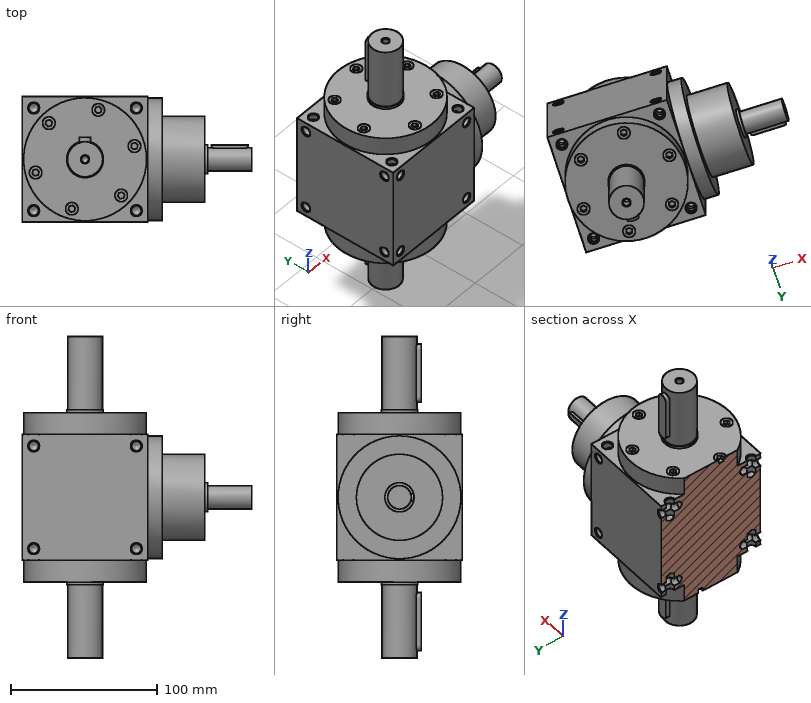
import cadquery as cq
import math


OVERALL_HEIGHT = 220.0
OVERALL_LENGTH = 157.0
CUBE_SIDE = 86.0

FLANGE_DIAMETER = 84.0
OUTPUT_FLANGE_THICKNESS = 15.0
INPUT_FLANGE_THICKNESS = 10.0
NOSE_DIAMETER = 59.0
NOSE_LENGTH = 29.0

COLLAR_LENGTH = 2.0
OUTPUT_SHAFT_DIAMETER = 24.0
OUTPUT_COLLAR_DIAMETER = 25.0
INPUT_SHAFT_DIAMETER = 16.0
INPUT_COLLAR_DIAMETER = 20.0

OUTPUT_KEY_LENGTH = 40.0
OUTPUT_KEY_WIDTH = 8.0
OUTPUT_KEY_HEIGHT = 7.0
OUTPUT_KEY_RISE = 15.0
INPUT_KEY_LENGTH = 25.0
INPUT_KEY_WIDTH = 5.0
INPUT_KEY_HEIGHT = 5.0
INPUT_KEY_RISE = 10.0

CORNER_HOLE_INSET = 8.0
CORNER_HOLE_DIAMETER = 6.5
CORNER_MOUTH_DIAMETER = 8.0
CORNER_HOLE_DEPTH = 16.0

CENTRE_HOLE_DIAMETER = 4.8
CENTRE_MOUTH_DIAMETER = 6.0
CENTRE_HOLE_DEPTH = 11.0

DRILL_POINT_ANGLE = 118.0

SCREW_COUNT = 6
SCREW_CIRCLE_RADIUS = 35.0
FIRST_SCREW_ANGLE = 15.0
SCREW_HEAD_DIAMETER = 8.5
SCREW_HEAD_SETBACK = 0.2
SOCKET_CORNER_DIAMETER = 4.8
SOCKET_DEPTH = 3.3

HALF_CUBE = CUBE_SIDE / 2
HALF_HEIGHT = OVERALL_HEIGHT / 2
OUTPUT_FACE = HALF_CUBE + OUTPUT_FLANGE_THICKNESS
OUTPUT_SHOULDER = OUTPUT_FACE + COLLAR_LENGTH
NOSE_START = HALF_CUBE + INPUT_FLANGE_THICKNESS
NOSE_FACE = NOSE_START + NOSE_LENGTH
INPUT_SHOULDER = NOSE_FACE + COLLAR_LENGTH
INPUT_END = OVERALL_LENGTH - HALF_CUBE


def cylinder(axis, diameter, start, end):
    """Cylinder along a direction through the origin, between two distances from it."""
    direction = cq.Vector(*axis)
    return cq.Workplane(cq.Solid.makeCylinder(diameter / 2, end - start, direction * start, direction))


def drilled_hole(diameter, mouth_diameter, depth):
    """Cutter for a hole down from the XY plane: 45 degree mouth, bore and drill point."""
    radius = diameter / 2
    mouth_radius = mouth_diameter / 2
    point_length = radius / math.tan(math.radians(DRILL_POINT_ANGLE / 2))
    profile = [
        (0, 0),
        (mouth_radius, 0),
        (radius, radius - mouth_radius),
        (radius, -depth),
        (0, -depth - point_length),
    ]
    return cq.Workplane("XZ").polyline(profile).close().revolve(360, (0, 0), (0, 1))


def place(cutter, plane, points):
    """Copies of a cutter at points on a plane, with the cutter's +Z along the plane's normal."""
    locations = [plane.location * cq.Location(cq.Vector(*point)) for point in points]
    return cq.Workplane().newObject([cutter.val().moved(location) for location in locations])


def face_plane(normal, distance):
    """Plane square to a direction, at a distance from the origin."""
    across = (0, 1, 0) if normal[0] else (1, 0, 0)
    return cq.Plane(origin=cq.Vector(*normal) * distance, xDir=across, normal=normal)


def make_key(length, width, height):
    """Round-ended feather key, lengthwise along X, with its outer face on the XY plane."""
    return cq.Workplane("XY").slot2D(length, width).extrude(-height)


def make_output_key(side):
    middle = side * (OUTPUT_SHOULDER + HALF_HEIGHT) / 2
    seat = cq.Plane(origin=(0, OUTPUT_KEY_RISE, middle), xDir=(0, 0, 1), normal=(0, 1, 0))
    key = make_key(OUTPUT_KEY_LENGTH, OUTPUT_KEY_WIDTH, OUTPUT_KEY_HEIGHT)
    return place(key, seat, [(0, 0)])


def make_input_key():
    middle = (INPUT_SHOULDER + INPUT_END) / 2
    seat = cq.Plane(origin=(middle, INPUT_KEY_RISE, 0), xDir=(1, 0, 0), normal=(0, 1, 0))
    key = make_key(INPUT_KEY_LENGTH, INPUT_KEY_WIDTH, INPUT_KEY_HEIGHT)
    return place(key, seat, [(0, 0)])


def add_output_side(gearbox, axis):
    flange = cylinder(axis, FLANGE_DIAMETER, HALF_CUBE, OUTPUT_FACE)
    collar = cylinder(axis, OUTPUT_COLLAR_DIAMETER, OUTPUT_FACE, OUTPUT_SHOULDER)
    shaft = cylinder(axis, OUTPUT_SHAFT_DIAMETER, OUTPUT_SHOULDER, HALF_HEIGHT)
    return gearbox.union(flange).union(collar).union(shaft)


def add_input_side(gearbox):
    axis = (1, 0, 0)
    flange = cylinder(axis, FLANGE_DIAMETER, HALF_CUBE, NOSE_START)
    nose = cylinder(axis, NOSE_DIAMETER, NOSE_START, NOSE_FACE)
    collar = cylinder(axis, INPUT_COLLAR_DIAMETER, NOSE_FACE, INPUT_SHOULDER)
    shaft = cylinder(axis, INPUT_SHAFT_DIAMETER, INPUT_SHOULDER, INPUT_END)
    return gearbox.union(flange).union(nose).union(collar).union(shaft)


def cut_corner_holes(gearbox):
    hole = drilled_hole(CORNER_HOLE_DIAMETER, CORNER_MOUTH_DIAMETER, CORNER_HOLE_DEPTH)
    reach = HALF_CUBE - CORNER_HOLE_INSET
    corners = [(u, v) for u in (-reach, reach) for v in (-reach, reach)]
    for normal in [(-1, 0, 0), (0, -1, 0), (0, 1, 0), (0, 0, -1), (0, 0, 1)]:
        gearbox = gearbox.cut(place(hole, face_plane(normal, HALF_CUBE), corners))
    return gearbox


def cut_centre_hole(gearbox, axis):
    hole = drilled_hole(CENTRE_HOLE_DIAMETER, CENTRE_MOUTH_DIAMETER, CENTRE_HOLE_DEPTH)
    return gearbox.cut(place(hole, face_plane(axis, HALF_HEIGHT), [(0, 0)]))


def cut_flange_screws(gearbox, axis):
    """Head recesses and hexagon sockets, one corner of each hexagon pointing outwards."""
    face = cq.Workplane(face_plane(axis, OUTPUT_FACE)).polarArray(
        SCREW_CIRCLE_RADIUS, FIRST_SCREW_ANGLE, 360, SCREW_COUNT
    )
    heads = face.circle(SCREW_HEAD_DIAMETER / 2).extrude(-SCREW_HEAD_SETBACK)
    sockets = face.polygon(6, SOCKET_CORNER_DIAMETER).extrude(-SOCKET_DEPTH)
    return gearbox.cut(heads).cut(sockets)


def make_gearbox(keys):
    gearbox = add_input_side(cq.Workplane("XY").box(CUBE_SIDE, CUBE_SIDE, CUBE_SIDE))
    for axis in [(0, 0, 1), (0, 0, -1)]:
        gearbox = add_output_side(gearbox, axis)
        gearbox = cut_flange_screws(gearbox, axis)
        gearbox = cut_centre_hole(gearbox, axis)
    gearbox = cut_corner_holes(gearbox)
    for key in keys:
        gearbox = gearbox.cut(key)
    return gearbox


keys = [make_output_key(side) for side in (1, -1)] + [make_input_key()]
gearbox = make_gearbox(keys)

result = cq.Compound.makeCompound([gearbox.val(), *[key.val() for key in keys]])